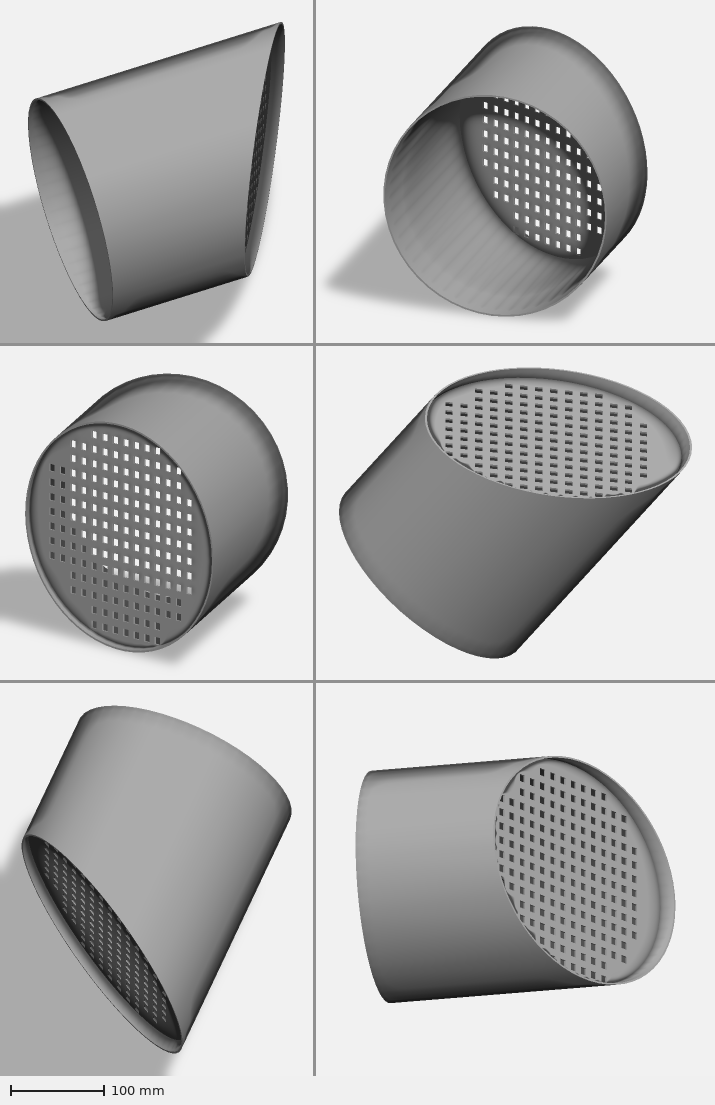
import cadquery as cq
import math

TUBE_OUTER_DIAMETER = 250.0
TUBE_INNER_DIAMETER = 246.0
TUBE_LENGTH = 295.5
SLANT_ANGLE = 30.0

GRATE_DIAMETER = 248.0
GRATE_THICKNESS = 2.0
GRATE_DEPTH = 13.0

HOLE_SIZE = 8.0
GRID_STEPS = 13
GRID_SPAN = 210.0
GRID_PITCH = GRID_SPAN / GRID_STEPS
GRID_OFFSET = HOLE_SIZE / 2

ROW_BANDS = [
    (1, 3, 9),
    (2, 1, 11),
    (7, 0, GRID_STEPS),
    (2, 1, 11),
    (2, 3, 9),
]

slant = math.radians(SLANT_ANGLE)
tube_radius = TUBE_OUTER_DIAMETER / 2
slant_end_on_axis = TUBE_LENGTH - tube_radius * math.tan(slant)


def cylinder(diameter):
    """Full-length cylinder along +Y, starting at the square end."""
    return cq.Workplane("XZ").circle(diameter / 2).extrude(-TUBE_LENGTH)


def slanted_plane(depth):
    """Plane at a depth below the slanted end: local x runs across the slant, local y along Z."""
    normal = cq.Vector(-math.sin(slant), -math.cos(slant), 0)
    across = cq.Vector(math.cos(slant), -math.sin(slant), 0)
    origin = (0, slant_end_on_axis - depth / math.cos(slant), 0)
    return cq.Plane(origin=origin, xDir=across, normal=normal)


def slanted_slab(depth, thickness):
    """Oversized slab parallel to the slanted end, growing towards the square end."""
    size = 2 * TUBE_LENGTH
    return cq.Workplane(slanted_plane(depth)).rect(size, size).extrude(thickness)


def grate_blank():
    """Grate without holes, an ellipse that is round when seen along the tube."""
    return cylinder(GRATE_DIAMETER).intersect(slanted_slab(GRATE_DEPTH, GRATE_THICKNESS))


def make_tube():
    """Thin tube cut off at a slant, with the groove that holds the grate."""
    tube = cylinder(TUBE_OUTER_DIAMETER).cut(cylinder(TUBE_INNER_DIAMETER))
    tube = tube.intersect(slanted_slab(0, 2 * TUBE_LENGTH))
    return tube.cut(grate_blank())


def hole_centres():
    """Hole centres in the plane of the grate, row by row from the top."""
    left = GRID_OFFSET - GRID_SPAN / 2
    top = GRID_SPAN / 2 - GRID_OFFSET
    centres = []
    row = 0
    for row_count, first_column, last_column in ROW_BANDS:
        for _ in range(row_count):
            for column in range(first_column, last_column + 1):
                centres.append((left + column * GRID_PITCH, top - row * GRID_PITCH))
            row += 1
    return centres


def make_grate():
    """Plate with square holes through it, square to its faces."""
    holes = (
        cq.Workplane(slanted_plane(GRATE_DEPTH))
        .pushPoints(hole_centres())
        .rect(HOLE_SIZE, HOLE_SIZE)
        .extrude(GRATE_THICKNESS)
    )
    return grate_blank().cut(holes)


tube = make_tube()
grate = make_grate()

result = cq.Compound.makeCompound([tube.val(), grate.val()])